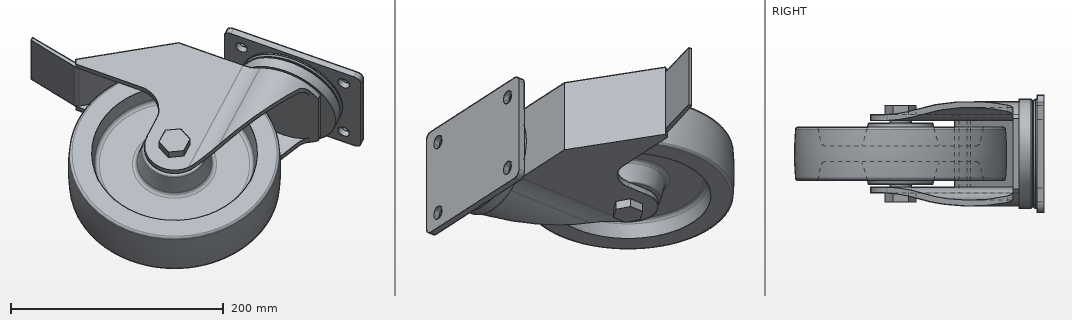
import cadquery as cq
import math


overall_length = 309
overall_height = 234.5
wheel_radius = 99.8
plate_top = overall_height - wheel_radius
plate_length = 139.7
plate_width = 110.0
plate_thickness = 6.5
plate_corner_radius = 6.8
slot_spacing_x = 104.8
slot_spacing_z = 77.2
slot_width = 11.5
slot_length = 13.3

swivel_x = 65.2
swivel_diameter = 103.0
swivel_radius = swivel_diameter / 2
bearing_height = 17.0
groove_depth = 1.2
upper_lip = 1.5
groove_top = 3.5
groove_bottom = 4.3
groove_end = 6.0

sheet = 5.5
fork_half_width = 36.8
fork_top = plate_top - plate_thickness - bearing_height
crown_bottom = fork_top - sheet
bend_x = 22.0
shoulder_radius = 49.0
crown_end_x = 101.5
arm_end_radius = 28.0
arm_edge_angle = 62.8
arm_edge_fillet = 10.0
brake_bottom = 50.0
brake_fillet = 28.0
brake_top_x = -44.0
brake_tip = (-125.0, 55.0)
brake_heel_x = -122.5

pedal_end_x = plate_length / 2 + swivel_x - overall_length
pedal_end_bottom = 62.5
pedal_height = 3.5
pedal_bend_radius = 6.0

wheel_half_width = 25.0
tread_edge_radius = 98.5
tread_fillet = 2.5
rim_radius = 78.0
rim_foot_radius = 74.2
disc_half_width = 7.5
hub_half_width = 28.7
hub_end_radius = 30.3
hub_foot_radius = 36.0
disc_fillet = 4.3
hub_end_fillet = 1.0

axle_diameter = 20.0
hex_across_corners = 29.5
hex_height = 8.5


def mounting_plate():
    """Rounded plate with four slotted bolt holes."""
    plate = (
        cq.Workplane("XZ", origin=(swivel_x, plate_top, 0))
        .rect(plate_length, plate_width)
        .extrude(plate_thickness)
        .edges("|Y")
        .fillet(plate_corner_radius)
    )
    slots = (
        cq.Workplane("XZ", origin=(swivel_x, plate_top, 0))
        .rect(slot_spacing_x, slot_spacing_z, forConstruction=True)
        .vertices()
        .slot2D(slot_length, slot_width, 90)
        .extrude(plate_thickness)
    )
    return plate.cut(slots)


def swivel_bearing():
    """Round bearing with a V-shaped groove around it."""
    groove_radius = swivel_radius - groove_depth
    outline = [
        (0, 0),
        (swivel_radius, 0),
        (swivel_radius, -upper_lip),
        (groove_radius, -groove_top),
        (groove_radius, -groove_bottom),
        (swivel_radius, -groove_end),
        (swivel_radius, -bearing_height),
        (0, -bearing_height),
    ]
    origin = (swivel_x, plate_top - plate_thickness, 0)
    return cq.Workplane("XY", origin=origin).polyline(outline).close().revolve(360, (0, 0), (0, 1))


def fork_plan(inset):
    """Fork outline along Y: flat arms, bends outward, then a round shoulder.

    The inset moves the whole outline inward, from the outer to the inner sheet face.
    """
    half_width = fork_half_width - inset
    radius = shoulder_radius - inset
    run = swivel_x - bend_x
    bend = (run**2 + half_width**2 - radius**2) / (2 * (radius - half_width))
    bend_center_z = half_width + bend
    angle = math.atan2(bend_center_z, run)
    joint = (swivel_x - radius * math.cos(angle), radius * math.sin(angle))
    half_angle = (angle + math.pi / 2) / 2
    bend_mid = (
        bend_x + bend * math.cos(half_angle),
        bend_center_z - bend * math.sin(half_angle),
    )
    end_z = math.sqrt(radius**2 - (crown_end_x - swivel_x) ** 2)
    return (
        cq.Workplane("XZ")
        .moveTo(pedal_end_x, -half_width)
        .lineTo(bend_x, -half_width)
        .threePointArc((bend_mid[0], -bend_mid[1]), (joint[0], -joint[1]))
        .threePointArc((swivel_x, -radius), (crown_end_x, -end_z))
        .lineTo(crown_end_x, end_z)
        .threePointArc((swivel_x, radius), joint)
        .threePointArc(bend_mid, (bend_x, half_width))
        .lineTo(pedal_end_x, half_width)
        .close()
        .extrude(fork_top, both=True)
    )


def fork_side():
    """Fork outline along Z: crown, round arm ends and the raised brake flank."""
    edge_angle = math.radians(arm_edge_angle)
    tangent_x = arm_end_radius * math.sin(edge_angle)
    tangent_y = -arm_end_radius * math.cos(edge_angle)
    corner_x = tangent_x + (crown_bottom - tangent_y) / math.tan(edge_angle)
    brake_arc_x = -arm_end_radius - brake_fillet
    brake_arc_y = brake_bottom - brake_fillet
    brake_arc_mid = (
        brake_arc_x + brake_fillet * math.sqrt(0.5),
        brake_arc_y + brake_fillet * math.sqrt(0.5),
    )
    return (
        cq.Workplane("XY")
        .moveTo(brake_top_x, fork_top)
        .lineTo(*brake_tip)
        .lineTo(brake_heel_x, brake_bottom)
        .lineTo(brake_arc_x, brake_bottom)
        .threePointArc(brake_arc_mid, (-arm_end_radius, brake_arc_y))
        .lineTo(-arm_end_radius, 0)
        .threePointArc((0, -arm_end_radius), (tangent_x, tangent_y))
        .lineTo(corner_x, crown_bottom)
        .lineTo(crown_end_x, crown_bottom)
        .lineTo(crown_end_x, fork_top)
        .close()
        .extrude(plate_width / 2, both=True)
        .edges(cq.NearestToPointSelector((corner_x, crown_bottom, 0)))
        .fillet(arm_edge_fillet)
    )


def fork_interior():
    """Open space between the arms, under the crown sheet."""
    length = crown_end_x - pedal_end_x
    height = crown_bottom + arm_end_radius
    return (
        cq.Workplane("XY", origin=(pedal_end_x, -arm_end_radius, 0))
        .box(length, height, plate_width, centered=(False, False, True))
    )


def fork():
    """Sheet-metal fork with two arms joined by a crown."""
    outer = fork_plan(0).intersect(fork_side())
    return outer.cut(fork_plan(sheet).intersect(fork_interior()))


def brake_sheet():
    """Bent sheet between the arms: a slope down from the crown, then the rising pedal."""
    run = brake_top_x - brake_tip[0]
    rise = fork_top - brake_tip[1]
    slope = run / rise
    inner_top_x = brake_top_x + sheet * math.hypot(run, rise) / rise
    bend_corner = (inner_top_x - (fork_top - brake_bottom) * slope, brake_bottom)
    outline = [
        (pedal_end_x, pedal_end_bottom),
        bend_corner,
        (inner_top_x - sheet * slope, crown_bottom),
        (brake_top_x - sheet * slope, crown_bottom),
        brake_tip,
        (pedal_end_x, pedal_end_bottom + pedal_height),
    ]
    return (
        cq.Workplane("XY")
        .polyline(outline)
        .close()
        .extrude(fork_half_width - sheet, both=True)
        .edges(cq.NearestToPointSelector((*bend_corner, 0)))
        .fillet(pedal_bend_radius)
    )


def wheel():
    """Crowned wheel with a recessed disc and a tapered hub on each side."""
    body = (
        cq.Workplane("XZ")
        .moveTo(0, -wheel_half_width)
        .lineTo(tread_edge_radius, -wheel_half_width)
        .threePointArc((wheel_radius, 0), (tread_edge_radius, wheel_half_width))
        .lineTo(0, wheel_half_width)
        .close()
        .revolve(360, (0, 0), (0, 1))
        .faces("|Z")
        .edges()
        .fillet(tread_fillet)
    )
    hub = cq.Workplane("XY").circle(hub_foot_radius).extrude(hub_half_width, both=True)
    recess_outline = [
        (rim_radius, hub_half_width),
        (rim_radius, wheel_half_width),
        (rim_foot_radius, disc_half_width),
        (hub_foot_radius, disc_half_width),
        (hub_end_radius, hub_half_width),
    ]
    recess = (
        cq.Workplane("XZ")
        .polyline(recess_outline)
        .close()
        .revolve(360, (0, 0), (0, 1))
        .faces("<Z")
        .edges()
        .fillet(disc_fillet)
    )
    return (
        body.union(hub)
        .cut(recess)
        .cut(recess.mirror("XY"))
        .faces("<Z or >Z")
        .edges()
        .fillet(hub_end_fillet)
    )


def axle():
    """Round axle through the arms with a hexagon head at each end."""
    head_z = fork_half_width + hex_height
    rod = cq.Workplane("XY").circle(axle_diameter / 2).extrude(head_z, both=True)
    heads = (
        cq.Workplane("XY")
        .polygon(6, hex_across_corners)
        .extrude(head_z, both=True)
        .rotate((0, 0, 0), (0, 0, 1), 30)
    )
    gap = cq.Workplane("XY").circle(hex_across_corners).extrude(fork_half_width, both=True)
    return rod.union(heads.cut(gap))


result = (
    mounting_plate()
    .union(swivel_bearing())
    .union(fork())
    .union(brake_sheet())
    .union(wheel())
    .union(axle())
)